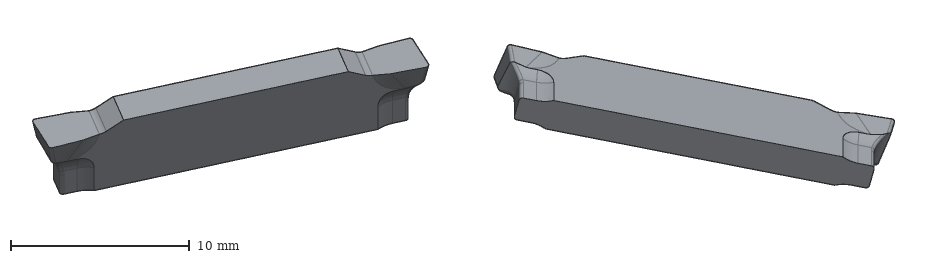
import cadquery as cq
import math

length = 22.52
height = 5.0
plate_width = 1.98
half_length = length / 2
half_plate = plate_width / 2

ramp_start = 6.58
ramp_run = 1.01
ramp_angle = math.radians(30)
ramp_blend_radius = 0.8

ramp_end = ramp_start + ramp_run
ramp_end_z = height - ramp_run * math.tan(ramp_angle)
head_start = ramp_end + ramp_blend_radius * math.sin(ramp_angle)
head_z = ramp_end_z - ramp_blend_radius * (1 - math.cos(ramp_angle))

head_width = 2.52
flank_start = 9.0
flank_start_half = 1.17
root_overlap = 0.07
head_depth = 2.25
corner_radius = 0.2
front_angle = math.radians(7)
flank_draft = 0.11
front_draft = 0.17
blend_edge_lean = 0.57

neck_end = 10.2
plate_end = 10.55
neck_half = 0.77
neck_corner_radius = 0.2
front_arc_z = 1.49
front_arc_radius = 2.12
side_arc_y = 9.23
side_arc_z = 1.8
side_arc_radius = 2.03

block_start = 4.5
block_end = 13.51
block_width = 3.6
edge_search_margin = 0.23


def make_plate():
    """Constant-width plate with a ramp and a blend arc at each end."""
    mid = ramp_angle / 2
    mid_y = head_start - ramp_blend_radius * math.sin(mid)
    mid_z = head_z + ramp_blend_radius * (1 - math.cos(mid))
    return (
        cq.Workplane("YZ")
        .moveTo(-plate_end, 0)
        .lineTo(plate_end, 0)
        .lineTo(plate_end, head_z)
        .lineTo(head_start, head_z)
        .threePointArc((mid_y, mid_z), (ramp_end, ramp_end_z))
        .lineTo(ramp_start, height)
        .lineTo(-ramp_start, height)
        .lineTo(-ramp_end, ramp_end_z)
        .threePointArc((-mid_y, mid_z), (-head_start, head_z))
        .lineTo(-plate_end, head_z)
        .close()
        .extrude(half_plate, both=True)
    )


def head_outline(depth):
    """Plan outline of the -Y head at a depth below its top face."""
    half = head_width / 2 - flank_draft * depth
    edge_half = flank_start_half - flank_draft * depth
    tip_center = corner_radius - half_length + front_draft * depth
    left_front = tip_center - corner_radius * (1 / math.cos(front_angle) + math.tan(front_angle))
    right_front = left_front + 2 * half * math.tan(front_angle)
    root_half = half_plate - root_overlap
    root_overlap_run = root_overlap * (flank_start - head_start) / (flank_start_half - half_plate)
    root = -head_start + root_overlap_run
    edge = -flank_start - blend_edge_lean * depth
    return [
        (-root_half, root),
        (-edge_half, edge),
        (-half, left_front),
        (half, right_front),
        (edge_half, edge),
        (root_half, root),
    ]


def make_head():
    """Drafted head wider at the top, with rounded front corners."""
    head = (
        cq.Workplane("XY", origin=(0, 0, head_z - head_depth))
        .polyline(head_outline(head_depth))
        .close()
        .workplane(offset=head_depth)
        .polyline(head_outline(0))
        .close()
        .loft(ruled=True)
    )
    front_edges = cq.selectors.BoxSelector(
        (-block_width, -block_end, head_z - head_depth + edge_search_margin),
        (block_width, -neck_end, head_z - edge_search_margin),
    )
    return head.edges(front_edges).fillet(corner_radius)


def make_front_relief():
    """Space in front of the neck, below an arc that runs out under the head."""
    arc_center_y = -neck_end - front_arc_radius
    arc_top = front_arc_z + front_arc_radius
    half_way = front_arc_radius * math.sqrt(0.5)
    return (
        cq.Workplane("YZ")
        .moveTo(-neck_end, 0)
        .lineTo(-neck_end, front_arc_z)
        .threePointArc((arc_center_y + half_way, front_arc_z + half_way), (arc_center_y, arc_top))
        .lineTo(-block_end, arc_top)
        .lineTo(-block_end, 0)
        .close()
        .extrude(block_width, both=True)
    )


def make_side_relief(side):
    """Space beside the neck; its inner, rear and top edges are rounded over."""
    rear = -side_arc_y + side_arc_radius
    top = side_arc_z + side_arc_radius
    relief = cq.Workplane("XY").box(
        block_width, block_end + rear, top + height, centered=(True, False, False)
    )
    relief = relief.translate((side * (neck_half + block_width / 2), -block_end, -height))
    inner = "<X" if side > 0 else ">X"
    corner = relief.faces(inner).vertices(">Y").vertices(">Z").val().toTuple()
    through_corner = [
        edge
        for edge in relief.edges().vals()
        if any(vertex.toTuple() == corner for vertex in edge.Vertices())
    ]
    return relief.newObject(through_corner).fillet(side_arc_radius)


def make_end_waste():
    """Everything to remove around the neck at the -Y end."""
    block = cq.Workplane("XY").box(
        block_width, block_end - block_start, height, centered=(True, False, False)
    )
    block = block.translate((0, -block_end, 0))
    neck = block.cut(make_front_relief())
    for side in (-1, 1):
        neck = neck.cut(make_side_relief(side))
    corner_edges = cq.selectors.BoxSelector(
        (-block_width, -neck_end - edge_search_margin, 0),
        (block_width, -neck_end + edge_search_margin, front_arc_z),
    )
    neck = neck.edges("|Z").edges(corner_edges).fillet(neck_corner_radius)
    return block.cut(neck)


def half_turn(body):
    return body.rotate((0, 0, 0), (0, 0, 1), 180)


head = make_head()
waste = make_end_waste()
result = make_plate().union(head).union(half_turn(head))
result = result.cut(waste).cut(half_turn(waste))